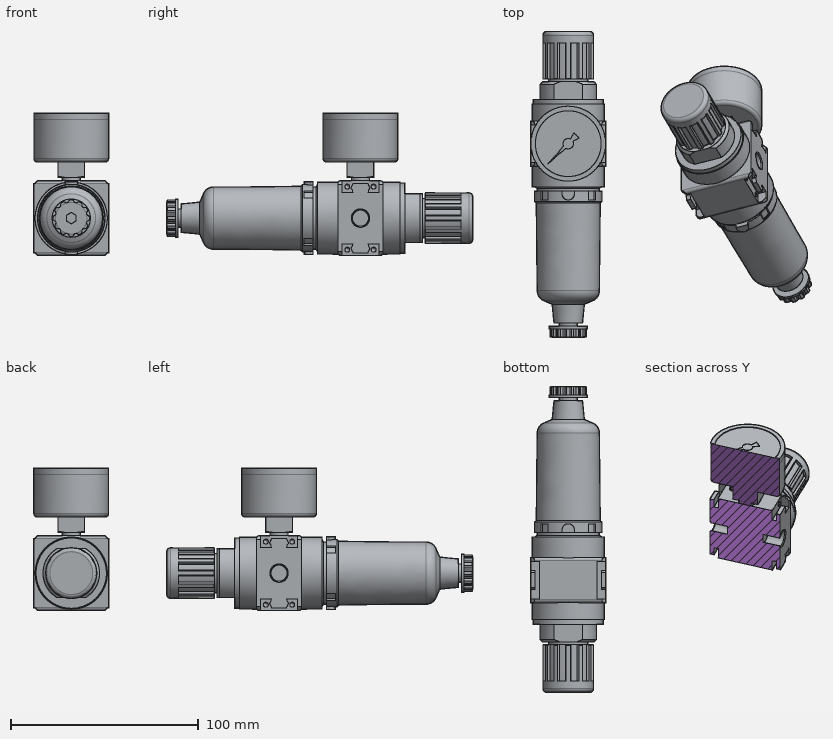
import cadquery as cq
import math


overall_length = 163.0

block_size = 40.0
block_length = 24.1
block_edge_round = 1.6
block_edge_chamfer = 2.1
half_block = block_size / 2

flange_thickness = 2.1
recess_depth = 4.5
recess_height = 6.2
tongue_drop = 1.5
tongue_end_width = 7.8
tongue_head_width = 10.1
tongue_neck_width = 8.5
tongue_thickness = 2.3
tongue_slope_height = 2.5
tongue_head_height = 1.3
side_hole_diameter = 2.6
side_hole_depth = 1.3
side_hole_spread = 7.0
side_hole_height = 16.8
recess_floor_x = recess_depth - half_block
recess_root_z = half_block - recess_height

port_diameter = 8.6
port_mouth_diameter = 9.8
port_depth = 9.8
screw_x, screw_y = -10.8, 7.5
screw_head_diameter = 4.0
screw_head_depth = 0.3
screw_hole_diameter = 2.6
screw_hole_depth = 2.5

barrel_diameter = 38.5
shoulder_diameter = 37.5
barrel_end = -23.0
barrel_top = 21.0
shoulder_top = 23.6
lip_diameter = 35.5
lip_length = 0.8
throat_diameter = 33.3
bonnet_diameter = 30.2
bonnet_flats = 26.0
bonnet_chamfer = 1.5
bonnet_top = 33.1
collar_diameter = 21.0

knob_diameter = 27.0
knob_bottom = 34.4
knob_top = 59.8
knob_round = 2.1
knob_end_chamfer = 0.3
rib_count = 12
groove_top = 53.6
groove_depth = 1.3
rib_crest_width = 2.1
rib_root_width = 3.1

ring_start = -25.3
ring_end = -30.8
ring_diameter = 36.0
ring_cone_length = 0.8
notch_floor_diameter = 34.7
notch_edge = 10.8
notch_end = -30.0
button_width = 6.5
button_length = 4.7
button_height = 19.4

bowl_top_diameter = 34.2
bowl_bottom_diameter = 33.3
bowl_round_start = -78.2
bowl_round = 5.9
bowl_end_slope = 22.0
stem_start = -85.5
stem_end = -95.5
stem_start_diameter = 17.3
stem_end_diameter = 15.3
shaft_diameter = 9.8
disc_start = -97.1
disc_end = -98.6
disc_diameter = 20.4
drain_end = knob_top - overall_length
drain_core_diameter = 17.0
drain_tooth_diameter = 19.4
drain_bevel_length = 0.3
drain_tooth_count = 12
drain_tooth_crest_width = 1.6
drain_tooth_root_width = 3.5
hex_flats = 5.2
hex_depth = 4.0

gauge_diameter = 40.0
gauge_top = 55.9
gauge_bezel = 52.6
gauge_bottom = 29.8
gauge_round = 2.0
dial_diameter = 35.0
dial_depth = 0.3
square_size = 14.3
square_bottom = 21.5
square_corner_rise = 0.8
gauge_neck_diameter = 9.8
needle_thickness = 0.2
needle_angle = 225.0
needle_hub_diameter = 5.5
needle_tip = (15.3, 0)
needle_pointer = [(0, 1.1), (6.7, 0.57), (6.8, 0.3), (12.9, 0.2)]
needle_tail = [(-6.2, 2.0), (-1.6, 0.57)]


def cylinder_y(diameter, start, end):
    """Cylinder on the Y axis between two stations."""
    low, high = min(start, end), max(start, end)
    return cq.Workplane("XZ", origin=(0, high, 0)).circle(diameter / 2).extrude(high - low)


def box_between(x_range, y_range, z_range):
    """Box given by its limits along each axis."""
    size = [limits[1] - limits[0] for limits in (x_range, y_range, z_range)]
    corner = (x_range[0], y_range[0], z_range[0])
    return cq.Workplane("XY").box(*size, centered=False).translate(corner)


def about_y(shape, angle):
    """Shape turned about the Y axis."""
    return shape.rotate((0, 0, 0), (0, 1, 0), angle)


def side_recess():
    """Recess at the top of the -X face, with two cone-shaped holes in its floor."""
    half_length = block_length / 2 - flange_thickness
    recess = box_between(
        (-half_block, recess_floor_x), (-half_length, half_length), (recess_root_z, half_block)
    )
    hole_radius = side_hole_diameter / 2
    for y in (-side_hole_spread, side_hole_spread):
        center = cq.Vector(recess_floor_x, y, side_hole_height)
        cone = cq.Solid.makeCone(hole_radius, 0, side_hole_depth, pnt=center, dir=cq.Vector(1, 0, 0))
        recess = recess.union(cq.Workplane(cone))
    return recess


def recess_tongue():
    """Dovetailed tongue that rises in the recess, flush with the -X face and clear of the recess floor."""
    end_z = half_block - tongue_drop
    head_z = end_z - tongue_slope_height
    neck_z = head_z - tongue_head_height
    half_outline = [
        (tongue_end_width / 2, end_z),
        (tongue_head_width / 2, head_z),
        (tongue_neck_width / 2, neck_z),
        (tongue_neck_width / 2, recess_root_z),
    ]
    outline = half_outline + [(-y, z) for y, z in reversed(half_outline)]
    face = cq.Workplane("YZ", origin=(-half_block, 0, 0))
    return face.polyline(outline).close().extrude(tongue_thickness)


def port():
    """Blind port in the -X face with a countersunk mouth."""
    bore = cq.Workplane("YZ", origin=(-half_block, 0, 0)).circle(port_diameter / 2).extrude(port_depth)
    mouth_depth = (port_mouth_diameter - port_diameter) / 2
    mouth = cq.Solid.makeCone(
        port_mouth_diameter / 2, port_diameter / 2, mouth_depth,
        pnt=cq.Vector(-half_block, 0, 0), dir=cq.Vector(1, 0, 0),
    )
    return bore.union(cq.Workplane(mouth))


def ribs(count, crest_width, root_width, crest_radius, root_radius, start, end):
    """Ring of ribs along Y, each widening from its crest to its root and reaching inside the root radius."""
    inner_radius = 2 * root_radius - crest_radius
    half_outline = [
        (root_width / 2, inner_radius),
        (root_width / 2, root_radius),
        (crest_width / 2, crest_radius),
    ]
    outline = half_outline + [(-x, z) for x, z in reversed(half_outline)]
    rib = cq.Workplane("XZ", origin=(0, start, 0)).polyline(outline).close().extrude(start - end)
    return [about_y(rib, index * 360 / count) for index in range(count)]


def make_knob():
    """Adjusting knob with a ribbed grip."""
    knob = cylinder_y(knob_diameter, knob_bottom, knob_top)
    knob = knob.faces(">Y").edges().fillet(knob_round)
    knob = knob.faces("<Y").edges().chamfer(knob_end_chamfer)
    crest_radius = knob_diameter / 2
    root_radius = crest_radius - groove_depth
    grooves = cylinder_y(knob_diameter, knob_bottom, groove_top)
    grooves = grooves.cut(cylinder_y(2 * root_radius, knob_bottom, groove_top))
    for rib in ribs(
        rib_count, rib_crest_width, rib_root_width, crest_radius, root_radius, groove_top, knob_bottom
    ):
        grooves = grooves.cut(rib)
    return knob.cut(grooves)


def make_bonnet():
    """Round bonnet with a flat on the top and on the bottom, and the collar that carries the knob."""
    bonnet = cylinder_y(bonnet_diameter, shoulder_top, bonnet_top)
    bonnet = bonnet.faces(">Y").edges().chamfer(bonnet_chamfer)
    between_flats = box_between(
        (-bonnet_diameter / 2, bonnet_diameter / 2),
        (shoulder_top, bonnet_top),
        (-bonnet_flats / 2, bonnet_flats / 2),
    )
    bonnet = bonnet.intersect(between_flats)
    return bonnet.union(cylinder_y(collar_diameter, bonnet_top, knob_bottom))


def make_barrel():
    """Round housing that passes through the block, with the throat that enters the bowl ring."""
    outline = [
        (0, shoulder_top),
        (shoulder_diameter / 2, shoulder_top),
        (shoulder_diameter / 2, barrel_top),
        (barrel_diameter / 2, barrel_top),
        (barrel_diameter / 2, barrel_end),
        (lip_diameter / 2, barrel_end),
        (throat_diameter / 2, barrel_end - lip_length),
        (throat_diameter / 2, ring_start),
        (0, ring_start),
    ]
    return cq.Workplane("XY").polyline(outline).close().revolve(360, (0, 0, 0), (0, 1, 0))


def make_housing():
    block = cq.Workplane("XY").box(block_size, block_length, block_size)
    block = block.edges("|Y").chamfer(block_edge_chamfer)
    block = block.faces("<Z or >Z").edges("|X").fillet(block_edge_round)
    housing = block.union(make_barrel()).union(make_bonnet()).union(make_knob())
    for cutter in (side_recess(), side_recess().mirror("XY"), port()):
        housing = housing.cut(cutter).cut(cutter.mirror("YZ"))
    tongue = recess_tongue()
    for side_tongue in (tongue, tongue.mirror("YZ")):
        housing = housing.union(side_tongue).union(side_tongue.mirror("XY"))
    screw_seat = cq.Workplane("XY", origin=(screw_x, screw_y, half_block))
    housing = housing.cut(screw_seat.circle(screw_head_diameter / 2).extrude(-screw_head_depth))
    return housing.cut(screw_seat.circle(screw_hole_diameter / 2).extrude(-screw_hole_depth))


def ring_notches():
    """Four notches in the ring, on the diagonals between X and Z."""
    notches = cylinder_y(ring_diameter, notch_end, ring_start)
    notches = notches.cut(cylinder_y(notch_floor_diameter, notch_end, ring_start))
    for half_x, half_z in ((notch_edge, ring_diameter), (ring_diameter, notch_edge)):
        keep = box_between((-half_x, half_x), (notch_end, ring_start), (-half_z, half_z))
        notches = notches.cut(keep)
    return notches


def ring_buttons():
    """Flat-topped release buttons above and below the ring, rounded toward the bowl."""
    radius = button_width / 2
    round_y = ring_start - button_length + radius
    return (
        cq.Workplane("XY", origin=(0, 0, -button_height))
        .moveTo(-radius, ring_start)
        .lineTo(-radius, round_y)
        .threePointArc((0, round_y - radius), (radius, round_y))
        .lineTo(radius, ring_start)
        .close()
        .extrude(2 * button_height)
    )


def bowl_shell():
    """Ring, tapered bowl and drain stem as one turned shape."""
    slope = math.radians(bowl_end_slope)
    round_center_r = bowl_bottom_diameter / 2 - bowl_round

    def round_point(angle):
        return (
            round_center_r + bowl_round * math.cos(angle),
            bowl_round_start - bowl_round * math.sin(angle),
        )

    sweep = math.pi / 2 - slope
    return (
        cq.Workplane("XY")
        .moveTo(0, ring_start)
        .lineTo(ring_diameter / 2, ring_start)
        .lineTo(ring_diameter / 2, ring_end)
        .lineTo(bowl_top_diameter / 2, ring_end - ring_cone_length)
        .lineTo(bowl_bottom_diameter / 2, bowl_round_start)
        .threePointArc(round_point(sweep / 2), round_point(sweep))
        .lineTo(stem_start_diameter / 2, stem_start)
        .lineTo(stem_end_diameter / 2, stem_end)
        .lineTo(shaft_diameter / 2, stem_end)
        .lineTo(shaft_diameter / 2, disc_start)
        .lineTo(0, disc_start)
        .close()
        .revolve(360, (0, 0, 0), (0, 1, 0))
    )


def drain_knob():
    """Toothed drain knob behind a thin disc, with a hexagon socket."""
    crest_radius = drain_tooth_diameter / 2
    root_radius = drain_core_diameter / 2
    envelope = cylinder_y(drain_tooth_diameter, disc_end, drain_end)
    envelope = envelope.faces("<Y").edges().chamfer(drain_bevel_length, crest_radius - root_radius)
    knob = cylinder_y(disc_diameter, disc_start, disc_end)
    knob = knob.union(cylinder_y(drain_core_diameter, disc_end, drain_end))
    for tooth in ribs(
        drain_tooth_count, drain_tooth_crest_width, drain_tooth_root_width,
        crest_radius, root_radius, disc_end, drain_end,
    ):
        knob = knob.union(tooth.intersect(envelope))
    hex_corners = hex_flats / math.cos(math.pi / 6)
    socket = cq.Workplane("XZ", origin=(0, drain_end, 0)).polygon(6, hex_corners).extrude(-hex_depth)
    return knob.cut(about_y(socket, 90))


def make_bowl():
    bowl = bowl_shell().cut(ring_notches()).union(ring_buttons())
    return bowl.union(drain_knob())


def make_needle():
    """Pointer with a round hub, a stepped taper to the tip and a flared tail."""
    floor_z = gauge_top - dial_depth
    half_outline = needle_tail + needle_pointer
    outline = half_outline + [needle_tip] + [(x, -y) for x, y in reversed(half_outline)]
    needle = cq.Workplane("XY", origin=(0, 0, floor_z)).polyline(outline).close().extrude(needle_thickness)
    hub = cq.Workplane("XY", origin=(0, 0, floor_z)).circle(needle_hub_diameter / 2).extrude(needle_thickness)
    return needle.union(hub).rotate((0, 0, 0), (0, 0, 1), needle_angle)


def gauge_square():
    """Square wrench section whose corners are bevelled at the lower end."""
    height = gauge_bottom - square_bottom
    square = cq.Workplane("XY", origin=(0, 0, square_bottom)).rect(square_size, square_size).extrude(height)
    corner_radius = square_size / math.sqrt(2)
    lower_center = cq.Vector(0, 0, square_bottom)
    cone = cq.Solid.makeCone(square_size / 2, corner_radius, square_corner_rise, pnt=lower_center)
    bevel = cq.Workplane(cone)
    bevel = bevel.faces(">Z").workplane().circle(corner_radius).extrude(height - square_corner_rise)
    return square.intersect(bevel)


def make_gauge():
    lower = cq.Workplane("XY", origin=(0, 0, gauge_bottom)).circle(gauge_diameter / 2)
    lower = lower.extrude(gauge_bezel - gauge_bottom).faces("<Z").edges().fillet(gauge_round)
    bezel = cq.Workplane("XY", origin=(0, 0, gauge_bezel)).circle(gauge_diameter / 2)
    bezel = bezel.extrude(gauge_top - gauge_bezel)
    dial = cq.Workplane("XY", origin=(0, 0, gauge_top)).circle(dial_diameter / 2).extrude(-dial_depth)
    neck = cq.Workplane("XY", origin=(0, 0, half_block)).circle(gauge_neck_diameter / 2)
    neck = neck.extrude(square_bottom - half_block)
    gauge = lower.union(bezel, clean=False).cut(dial, clean=False)
    for section in (make_needle(), gauge_square(), neck):
        gauge = gauge.union(section, clean=False)
    return gauge


housing = make_housing()
bowl = make_bowl()
gauge = make_gauge()

result = cq.Compound.makeCompound([housing.val(), bowl.val(), gauge.val()])